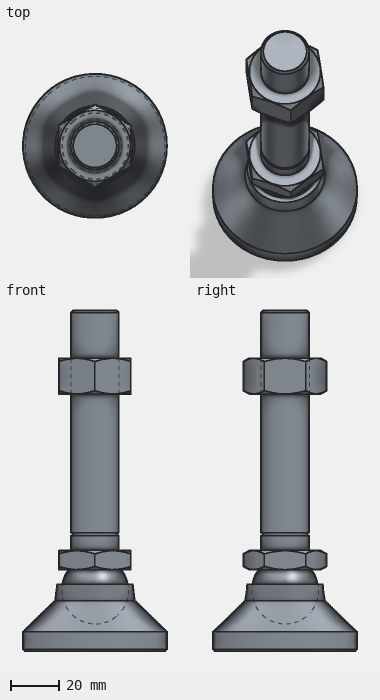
import cadquery as cq
import math

total_height = 142.0

foot_radius = 60.0 / 2
rim_chamfer = 1.0
rim_top = 8.1
cone_top = 21.2
collar_top = 28.0
collar_base_radius = 16.6
collar_top_radius = 15.8

ball_radius = 13.9
ball_center = 25.4

rod_radius = 20.0 / 2
tip_chamfer = 1.0
groove_bottom = 48.1
groove_width = 1.3
groove_depth = 0.5

across_flats = 30.0
hex_face_radius = 14.8
hex_chamfer_angle = 30.0
corner_turn = 30.0
wrench_bottom = 34.0
wrench_height = 8.1
nut_bottom = 107.0
nut_height = 15.0


def chamfered_hexagon(bottom, height):
    """Hexagonal prism with corners on the Y axis, chamfered conically at both ends."""
    corner_radius = across_flats / math.sqrt(3)
    drop = (corner_radius - hex_face_radius) * math.tan(math.radians(hex_chamfer_angle))
    prism = (
        cq.Workplane("XY")
        .polygon(6, 2 * corner_radius)
        .extrude(height)
        .rotate((0, 0, 0), (0, 0, 1), corner_turn)
    )
    envelope = (
        cq.Workplane("XZ")
        .polyline([
            (0, 0),
            (hex_face_radius, 0),
            (corner_radius, drop),
            (corner_radius, height - drop),
            (hex_face_radius, height),
            (0, height),
        ])
        .close()
        .revolve(360, (0, 0), (0, 1))
    )
    return prism.intersect(envelope).translate((0, 0, bottom))


def make_ball():
    return cq.Workplane("XY").sphere(ball_radius).translate((0, 0, ball_center))


def make_foot():
    """Conical foot whose collar holds a spherical socket."""
    blank = (
        cq.Workplane("XZ")
        .polyline([
            (0, 0),
            (foot_radius - rim_chamfer, 0),
            (foot_radius, rim_chamfer),
            (foot_radius, rim_top),
            (collar_base_radius, cone_top),
            (collar_top_radius, collar_top),
            (0, collar_top),
        ])
        .close()
        .revolve(360, (0, 0), (0, 1))
    )
    return blank.cut(make_ball())


def make_stud():
    """Grooved rod with a wrench hexagon and a ball end."""
    wrench_hexagon = chamfered_hexagon(wrench_bottom, wrench_height)
    space_above = (
        cq.Workplane("XY")
        .workplane(offset=wrench_bottom)
        .circle(foot_radius)
        .extrude(total_height - wrench_bottom)
    )
    ball_end = make_ball().cut(space_above)
    rod = (
        cq.Workplane("XY")
        .workplane(offset=ball_center)
        .circle(rod_radius)
        .extrude(total_height - ball_center)
        .faces(">Z")
        .chamfer(tip_chamfer)
    )
    groove = (
        cq.Workplane("XY")
        .workplane(offset=groove_bottom)
        .circle(foot_radius)
        .circle(rod_radius - groove_depth)
        .extrude(groove_width)
    )
    return rod.cut(groove).union(ball_end).union(wrench_hexagon)


def make_nut():
    """Hexagon nut with a plain bore that fits the rod."""
    bore = (
        cq.Workplane("XY")
        .workplane(offset=nut_bottom)
        .circle(rod_radius)
        .extrude(nut_height)
    )
    return chamfered_hexagon(nut_bottom, nut_height).cut(bore)


foot = make_foot()
stud = make_stud()
nut = make_nut()

result = cq.Compound.makeCompound([foot.solids().val(), stud.solids().val(), nut.solids().val()])